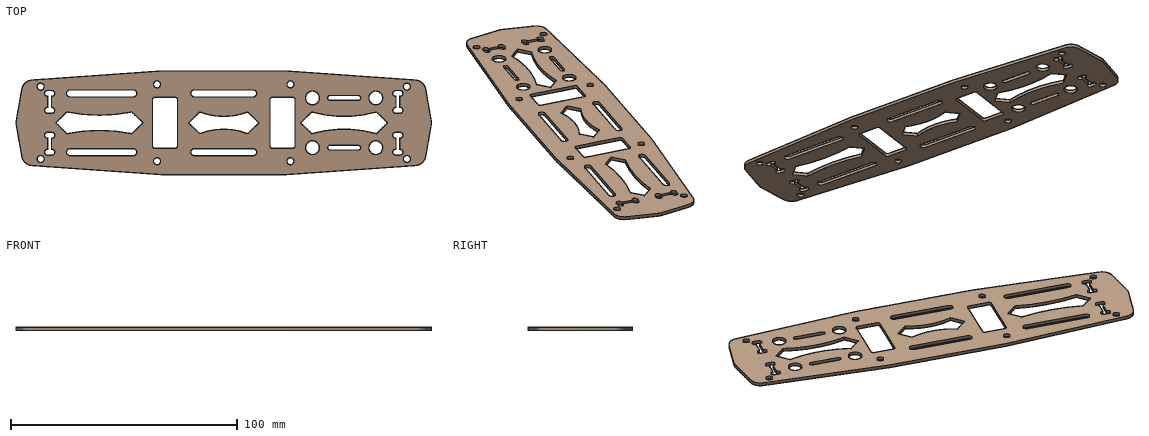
import cadquery as cq
import math

thickness = 1.5
half_width = 23.0
flat_half_length = 27.3
corner_x = 88.7
corner_y = 18.7
edge_radius = 5.0
plate_half_length = 91.92

screw_diameter = 3.0
screw_positions = [(29.5, 17.0), (81.0, 16.0)]

window_x = 26.0
window_length = 11.0
window_width = 22.5
window_corner_radius = 1.0

strap_slot_y = 13.0
strap_slot_width = 3.0
outer_strap_x = -54.0
outer_strap_length = 31.0
middle_strap_length = 29.0

cutout_half_width = 4.75
cutout_point_length = 4.9
rear_cutout = {"x": -55.0, "half_length": 19.25, "waist": 3.3}
middle_cutout = {"x": 0.0, "half_length": 15.5, "waist": 2.75}
front_cutout = {"x": 53.25, "half_length": 19.2, "waist": 2.75}

front_feature_x = 53.25
front_feature_y = 11.0
round_hole_diameter = 6.0
round_hole_spacing = 28.0
thin_slot_length = 14.5
thin_slot_width = 2.0

tie_x = 77.0
tie_y = 9.25
tie_length = 10.0
tie_stem_width = 1.6
tie_cap_length = 4.4
tie_cap_width = 2.5

mirror_signs = (1, -1)


def quadrants(x, y):
    return [(sx * x, sy * y) for sx in mirror_signs for sy in mirror_signs]


def make_plate():
    end_slope = math.atan2(plate_half_length - corner_x, corner_y)
    end_x = plate_half_length + edge_radius * (1 / math.cos(end_slope) - 1)
    upper = [
        (-corner_x, corner_y),
        (-flat_half_length, half_width),
        (flat_half_length, half_width),
        (corner_x, corner_y),
    ]
    lower = [(-x, -y) for x, y in upper]
    outline = [(-end_x, 0)] + upper + [(end_x, 0)] + lower
    plate = cq.Workplane("XY").polyline(outline).close().extrude(thickness)
    return plate.edges("|Z").fillet(edge_radius)


def slot_cutter(points, length, width):
    return cq.Workplane("XY").pushPoints(points).slot2D(length, width).extrude(thickness)


def round_cutter(points, diameter):
    return cq.Workplane("XY").pushPoints(points).circle(diameter / 2).extrude(thickness)


def window_cutter():
    windows = cq.Workplane("XY").pushPoints([(window_x, 0), (-window_x, 0)])
    windows = windows.rect(window_length, window_width).extrude(thickness)
    return windows.edges("|Z").fillet(window_corner_radius)


def waisted_cutter(x, half_length, waist):
    shoulder = half_length - cutout_point_length
    return (
        cq.Workplane("XY")
        .center(x, 0)
        .moveTo(-half_length, 0)
        .lineTo(-shoulder, cutout_half_width)
        .threePointArc((0, waist), (shoulder, cutout_half_width))
        .lineTo(half_length, 0)
        .lineTo(shoulder, -cutout_half_width)
        .threePointArc((0, -waist), (-shoulder, -cutout_half_width))
        .close()
        .extrude(thickness)
    )


def tie_cutter(x, y):
    cap_offset = (tie_length - tie_cap_width) / 2
    caps = slot_cutter([(x, y + cap_offset), (x, y - cap_offset)], tie_cap_length, tie_cap_width)
    stem = cq.Workplane("XY").center(x, y).rect(tie_stem_width, 2 * cap_offset).extrude(thickness)
    return caps.union(stem)


result = make_plate()

for hole_x, hole_y in screw_positions:
    result = result.cut(round_cutter(quadrants(hole_x, hole_y), screw_diameter))

result = result.cut(window_cutter())

for side in mirror_signs:
    strap_y = side * strap_slot_y
    result = result.cut(slot_cutter([(outer_strap_x, strap_y)], outer_strap_length, strap_slot_width))
    result = result.cut(slot_cutter([(0, strap_y)], middle_strap_length, strap_slot_width))

for cutout in (rear_cutout, middle_cutout, front_cutout):
    result = result.cut(waisted_cutter(**cutout))

for side in mirror_signs:
    row_y = side * front_feature_y
    hole_offset = round_hole_spacing / 2
    hole_points = [(front_feature_x - hole_offset, row_y), (front_feature_x + hole_offset, row_y)]
    result = result.cut(round_cutter(hole_points, round_hole_diameter))
    result = result.cut(slot_cutter([(front_feature_x, row_y)], thin_slot_length, thin_slot_width))

for tie_point in quadrants(tie_x, tie_y):
    result = result.cut(tie_cutter(*tie_point))